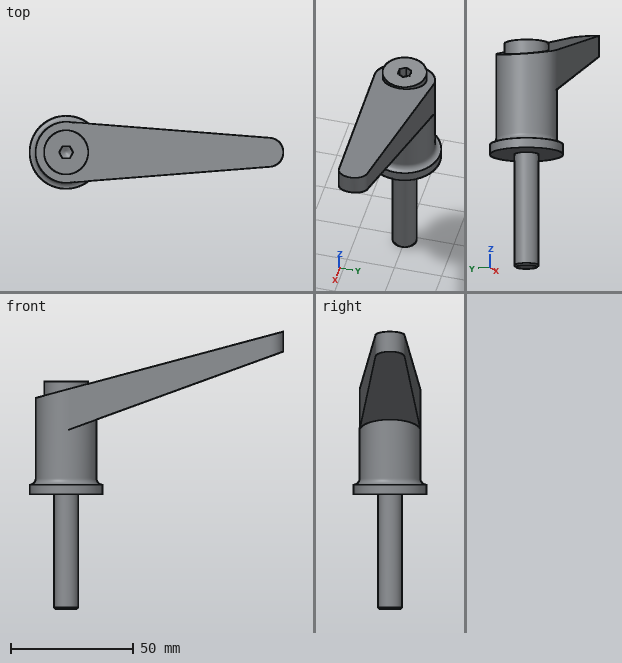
import math

import cadquery as cq


flange_radius = 15.0
flange_height = 4.0
hub_radius = 12.5
hub_fillet_radius = flange_radius - hub_radius

stud_radius = 5.0
stud_length = 47.0
stud_chamfer = 0.75

tip_radius = 6.0
tip_centre_x = 83.0
lever_reach = tip_centre_x + tip_radius
overall_height = 113.73
lever_end_top_z = overall_height - stud_length
lever_end_thickness = 8.25
top_slope = math.tan(math.radians(15.0))
underside_slope = math.tan(math.radians(20.0))

head_radius = 9.05
head_top_z = 46.3
socket_sides = 6
socket_across_flats = 5.0
socket_depth = 5.0
socket_point_half_angle = math.radians(60.0)


def top_z(x):
    """Height of the sloping top face at x."""
    return lever_end_top_z - (lever_reach - x) * top_slope


def underside_z(x):
    """Height of the sloping lever underside at x."""
    return lever_end_top_z - lever_end_thickness - (lever_reach - x) * underside_slope


def side_slab(start_x, lower_z):
    """Block spanning start_x to the lever end, from lower_z(x) up to the sloping top face."""
    corners = [
        (start_x, lower_z(start_x)),
        (lever_reach, lower_z(lever_reach)),
        (lever_reach, top_z(lever_reach)),
        (start_x, top_z(start_x)),
    ]
    return cq.Workplane("XZ").polyline(corners).close().extrude(flange_radius, both=True)


def make_hub():
    """Flanged round hub with a concave foot fillet, cut off by the sloping top face."""
    fillet_top_z = flange_height + hub_fillet_radius
    fillet_reach = hub_fillet_radius * (1 - math.cos(math.radians(45)))
    fillet_middle = (hub_radius + fillet_reach, flange_height + fillet_reach)
    blank_top_z = top_z(hub_radius)
    blank = (
        cq.Workplane("XZ")
        .lineTo(flange_radius, 0)
        .lineTo(flange_radius, flange_height)
        .threePointArc(fillet_middle, (hub_radius, fillet_top_z))
        .lineTo(hub_radius, blank_top_z)
        .lineTo(0, blank_top_z)
        .close()
        .revolve(360, (0, 0, 0), (0, 1, 0))
    )
    return blank.intersect(side_slab(-flange_radius, lambda x: 0.0))


def make_lever():
    """Tapered arm whose straight sides are tangent to both the hub and the rounded tip."""
    side_sine = (hub_radius - tip_radius) / tip_centre_x
    side_cosine = math.sqrt(1 - side_sine**2)
    root_x = hub_radius * side_sine
    root_y = hub_radius * side_cosine
    tip_x = tip_centre_x + tip_radius * side_sine
    tip_y = tip_radius * side_cosine
    plan = (
        cq.Workplane("XY")
        .moveTo(root_x, -root_y)
        .lineTo(tip_x, -tip_y)
        .threePointArc((lever_reach, 0), (tip_x, tip_y))
        .lineTo(root_x, root_y)
        .close()
        .extrude(lever_end_top_z)
    )
    return plan.intersect(side_slab(root_x, underside_z))


def make_stud():
    """Plain rod hanging below the flange, chamfered at its free end."""
    return (
        cq.Workplane("XY")
        .circle(stud_radius)
        .extrude(-stud_length)
        .faces("<Z")
        .chamfer(stud_chamfer)
    )


def make_screw_head():
    """Round screw head, starting inside the hub and standing out of its sloping top."""
    head_base_z = top_z(-hub_radius)
    return (
        cq.Workplane("XY", origin=(0, 0, head_base_z))
        .circle(head_radius)
        .extrude(head_top_z - head_base_z)
    )


def make_socket():
    """Hexagon socket, corners along X, ending in a conical point."""
    corner_radius = socket_across_flats / 2 / math.cos(math.pi / socket_sides)
    point_height = corner_radius / math.tan(socket_point_half_angle)
    hexagon = (
        cq.Workplane("XY", origin=(0, 0, head_top_z))
        .polygon(socket_sides, 2 * corner_radius)
        .extrude(-socket_depth - point_height)
    )
    cone_base_z = head_top_z - socket_depth
    point_envelope = (
        cq.Workplane("XZ")
        .moveTo(0, cone_base_z - point_height)
        .lineTo(corner_radius, cone_base_z)
        .lineTo(corner_radius, head_top_z)
        .lineTo(0, head_top_z)
        .close()
        .revolve(360, (0, 0, 0), (0, 1, 0))
    )
    return hexagon.intersect(point_envelope)


body = make_hub().union(make_lever()).union(make_stud()).union(make_screw_head())
result = body.cut(make_socket())